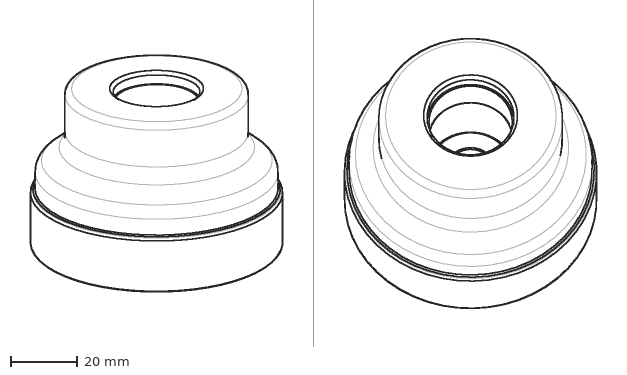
import cadquery as cq
import math

height = 50.8
base_radius = 38.1
base_height = 18.2
base_side_height = 16.85
rim_bevel_radius = 37.6
rim_bevel_z = 17.7
rim_crest_radius = 37.3
rim_crest_z = 17.9
base_bottom_chamfer = 0.4

hole_radius = 6.85
hole_chamfer = 0.4

boss_radius = 12.4
boss_height = 0.8

skirt_radius = 36.7
skirt_top_z = 23.5
round_radius = 5.0
shoulder_tilt = 51.0
cone_top_z = 31.7
neck_radius = 27.7
neck_bottom_z = 36.8
top_fillet = 2.0

bore_radius = 12.6
mouth_radius = 13.1
mouth_depth = 4.0
mouth_chamfer = 1.1
cavity_radius = mouth_radius
cavity_cone_depth = 13.9
cavity_cone_height = 1.15


def make_base():
    """Round base with a bevelled rim, a centring boss and a chamfered centre hole."""
    boss_top_z = base_height + boss_height
    profile = [
        (hole_radius, 0),
        (base_radius - base_bottom_chamfer, 0),
        (base_radius, base_bottom_chamfer),
        (base_radius, base_side_height),
        (rim_bevel_radius, rim_bevel_z),
        (rim_crest_radius, rim_crest_z),
        (skirt_radius, base_height),
        (boss_radius, base_height),
        (boss_radius, boss_top_z),
        (hole_radius + hole_chamfer, boss_top_z),
        (hole_radius, boss_top_z - hole_chamfer),
    ]
    return revolve(cq.Workplane("XZ").polyline(profile))


def make_cap():
    """Bell-shaped cap whose cavity opens onto the base."""
    tilt = math.radians(shoulder_tilt)
    half_tilt = tilt / 2

    round_centre_r = skirt_radius - round_radius
    round_mid = (
        round_centre_r + round_radius * math.cos(half_tilt),
        skirt_top_z + round_radius * math.sin(half_tilt),
    )
    cone_bottom_r = round_centre_r + round_radius * math.cos(tilt)
    cone_bottom_z = skirt_top_z + round_radius * math.sin(tilt)

    cone_top_r = cone_bottom_r - (cone_top_z - cone_bottom_z) * math.tan(tilt)
    cove_centre_r = cone_top_r + round_radius * math.cos(tilt)
    cove_centre_z = cone_top_z + round_radius * math.sin(tilt)
    cove_mid = (
        cove_centre_r - round_radius * math.cos(half_tilt),
        cove_centre_z - round_radius * math.sin(half_tilt),
    )

    rim_inset = top_fillet * (1 - math.sqrt(0.5))
    rim_mid = (neck_radius - rim_inset, height - rim_inset)

    cavity_cone_top_z = height - cavity_cone_depth
    cavity_cone_bottom_z = cavity_cone_top_z - cavity_cone_height

    profile = (
        cq.Workplane("XZ")
        .moveTo(cavity_radius, base_height)
        .lineTo(skirt_radius, base_height)
        .lineTo(skirt_radius, skirt_top_z)
        .threePointArc(round_mid, (cone_bottom_r, cone_bottom_z))
        .lineTo(cone_top_r, cone_top_z)
        .threePointArc(cove_mid, (neck_radius, neck_bottom_z))
        .lineTo(neck_radius, height - top_fillet)
        .threePointArc(rim_mid, (neck_radius - top_fillet, height))
        .lineTo(mouth_radius + mouth_chamfer, height)
        .lineTo(mouth_radius, height - mouth_chamfer)
        .lineTo(mouth_radius, height - mouth_depth)
        .lineTo(bore_radius, height - mouth_depth)
        .lineTo(bore_radius, cavity_cone_top_z)
        .lineTo(cavity_radius, cavity_cone_bottom_z)
    )
    return revolve(profile)


def revolve(profile):
    """Close a half profile and turn it about the Z axis."""
    return profile.close().revolve(360, (0, 0, 0), (0, 1, 0))


base = make_base()
cap = make_cap()

result = cq.Compound.makeCompound([base.val(), cap.val()])